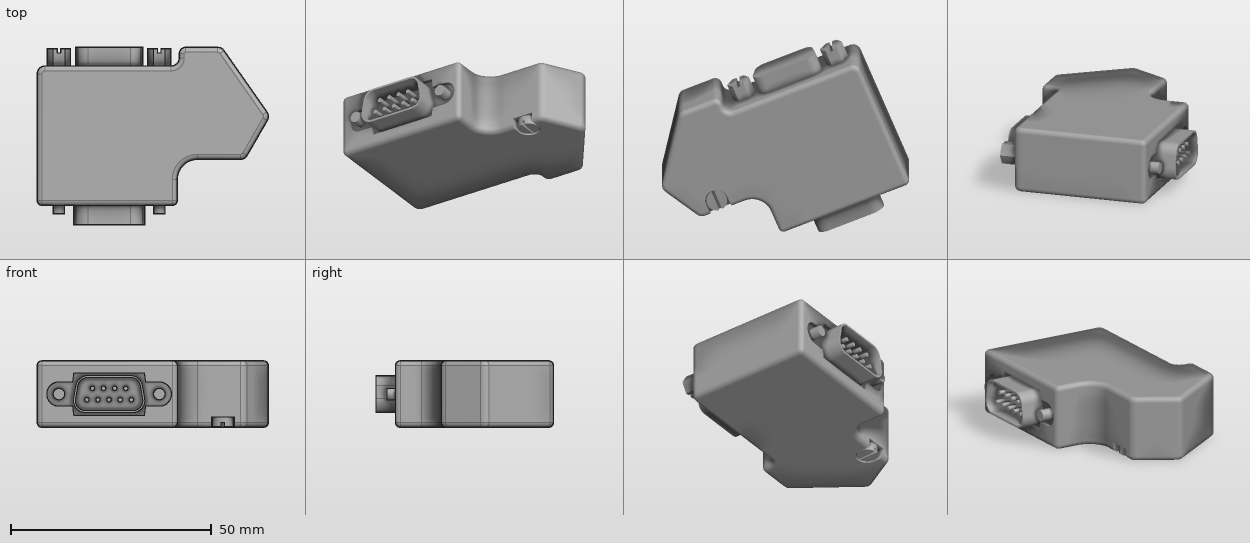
import cadquery as cq
import math

HOUSING_HEIGHT = 16.6
BLOCK_WIDTH = 34.95
BLOCK_DEPTH = 34.75
HEAD_BACK_Y = 39.4
HEAD_FRONT_Y = 11.45
HEAD_STEP_X = 35.4
HEAD_BACK_CORNER_X = 46.0
HEAD_FRONT_CORNER_X = 51.77
LONG_SLANT = math.radians(35)
SHORT_SLANT = math.radians(30)
EDGE_RADIUS = 1.25
CORNER_RADIUS = 2.0
STEP_CORNER_RADIUS = 1.6
STEP_INNER_RADIUS = 2.0
NECK_RADIUS = 5.0

CONNECTOR_X = 17.95
SCREW_SPACING = 25.0
SHELL_HEIGHT = 9.24
SHELL_MID_WIDTH = 17.3
SHELL_SLANT = math.radians(10)
SHELL_CORNER_RADIUS = 3.0
SHELL_WALL = 0.5
MALE_REACH = 4.85
PIN_REACH = 3.8
PIN_DIAMETER = 1.1
PIN_PITCH = 2.77
PIN_ROW_SPACING = 2.84
TOP_ROW_PINS = 4
BOTTOM_ROW_PINS = 5

RECESS_DEPTH = 1.1
SLOT_END_RADIUS = 3.03
WINDOW_HALF_HEIGHT = 5.29
WINDOW_END_HALF_WIDTH = 8.79
WINDOW_SLOT_HALF_WIDTH = 9.08

STUD_DIAMETER = 2.86
STUD_REACH = 2.1
HEX_FLATS = 5.04
HEX_END_Y = 39.03
DRIVER_SLOT_WIDTH = 0.8
DRIVER_SLOT_DEPTH = 1.07

CLAMP_X = 46.27
CLAMP_Y = 14.35
CLAMP_POCKET_WIDTH = 5.75
CLAMP_POCKET_DEPTH = 2.57
CLAMP_HEAD_DIAMETER = 5.2
CLAMP_HEAD_SETBACK = 0.2

SCREW_XS = [CONNECTOR_X - SCREW_SPACING / 2, CONNECTOR_X + SCREW_SPACING / 2]


def facing_front(y, x=CONNECTOR_X):
    """Sketch plane at depth y, local X along +X, local Y along +Z, extruding toward -Y."""
    return cq.Workplane("XZ", origin=(x, y, 0))


def box_between(x0, x1, y0, y1, z0, z1):
    return cq.Workplane("XY").box(x1 - x0, y1 - y0, z1 - z0, centered=False).translate((x0, y0, z0))


def housing():
    slant_sum = math.tan(LONG_SLANT) + math.tan(SHORT_SLANT)
    reach_at_front = HEAD_BACK_CORNER_X + (HEAD_BACK_Y - HEAD_FRONT_Y) * math.tan(LONG_SLANT)
    tip_rise = (reach_at_front - HEAD_FRONT_CORNER_X) / slant_sum
    tip_x = HEAD_FRONT_CORNER_X + tip_rise * math.tan(SHORT_SLANT)
    tip_y = HEAD_FRONT_Y + tip_rise

    corners = [
        ((0, 0), EDGE_RADIUS),
        ((BLOCK_WIDTH, 0), EDGE_RADIUS),
        ((BLOCK_WIDTH, HEAD_FRONT_Y), NECK_RADIUS),
        ((HEAD_FRONT_CORNER_X, HEAD_FRONT_Y), CORNER_RADIUS),
        ((tip_x, tip_y), CORNER_RADIUS),
        ((HEAD_BACK_CORNER_X, HEAD_BACK_Y), CORNER_RADIUS),
        ((HEAD_STEP_X, HEAD_BACK_Y), STEP_CORNER_RADIUS),
        ((HEAD_STEP_X, BLOCK_DEPTH), STEP_INNER_RADIUS),
        ((0, BLOCK_DEPTH), CORNER_RADIUS),
    ]
    body = (
        cq.Workplane("XY", origin=(0, 0, -HOUSING_HEIGHT / 2))
        .polyline([point for point, _ in corners])
        .close()
        .extrude(HOUSING_HEIGHT)
    )
    for point, radius in corners:
        body = body.edges(cq.NearestToPointSelector((*point, 0))).fillet(radius)
    return body.faces("|Z").edges().fillet(EDGE_RADIUS)


def d_prism(start_y, length, inset=0.0):
    """D-shaped bar from start_y toward -Y, drawn in from the male shell's outside by inset."""
    half_height = SHELL_HEIGHT / 2 - inset
    half_mid = SHELL_MID_WIDTH / 2 - inset / math.cos(SHELL_SLANT)
    flare = half_height * math.tan(SHELL_SLANT)
    return (
        facing_front(start_y)
        .polyline([
            (-half_mid - flare, -half_height),
            (half_mid + flare, -half_height),
            (half_mid - flare, half_height),
            (-half_mid + flare, half_height),
        ])
        .close()
        .extrude(length)
        .edges("|Y")
        .fillet(SHELL_CORNER_RADIUS - inset)
    )


def male_recess():
    slot_length = SCREW_SPACING + 2 * SLOT_END_RADIUS
    slot = facing_front(RECESS_DEPTH).slot2D(slot_length, 2 * SLOT_END_RADIUS).extrude(RECESS_DEPTH)
    window = (
        facing_front(RECESS_DEPTH)
        .polyline([
            (-WINDOW_END_HALF_WIDTH, WINDOW_HALF_HEIGHT),
            (WINDOW_END_HALF_WIDTH, WINDOW_HALF_HEIGHT),
            (WINDOW_SLOT_HALF_WIDTH, SLOT_END_RADIUS),
            (WINDOW_SLOT_HALF_WIDTH, -SLOT_END_RADIUS),
            (WINDOW_END_HALF_WIDTH, -WINDOW_HALF_HEIGHT),
            (-WINDOW_END_HALF_WIDTH, -WINDOW_HALF_HEIGHT),
            (-WINDOW_SLOT_HALF_WIDTH, -SLOT_END_RADIUS),
            (-WINDOW_SLOT_HALF_WIDTH, SLOT_END_RADIUS),
        ])
        .close()
        .extrude(RECESS_DEPTH)
    )
    return slot.union(window)


def male_shell():
    length = RECESS_DEPTH + MALE_REACH
    return d_prism(RECESS_DEPTH, length).cut(d_prism(RECESS_DEPTH, length, SHELL_WALL))


def pin_row(count, z):
    row_points = [((i - (count - 1) / 2) * PIN_PITCH, z) for i in range(count)]
    return (
        facing_front(RECESS_DEPTH)
        .pushPoints(row_points)
        .circle(PIN_DIAMETER / 2)
        .extrude(RECESS_DEPTH + PIN_REACH)
    )


def female_plug():
    return d_prism(HEAD_BACK_Y, HEAD_BACK_Y - BLOCK_DEPTH, SHELL_WALL)


def stud(x):
    return facing_front(RECESS_DEPTH, x).circle(STUD_DIAMETER / 2).extrude(RECESS_DEPTH + STUD_REACH)


def hex_screw(x):
    across_corners = HEX_FLATS / math.cos(math.radians(30))
    post = facing_front(HEX_END_Y, x).polygon(6, across_corners).extrude(HEX_END_Y - BLOCK_DEPTH)
    driver_slot = box_between(
        x - DRIVER_SLOT_WIDTH / 2, x + DRIVER_SLOT_WIDTH / 2,
        HEX_END_Y - DRIVER_SLOT_DEPTH, HEX_END_Y,
        -HEX_FLATS / 2, HEX_FLATS / 2,
    )
    return post.cut(driver_slot)


def clamp_pocket():
    """Round-ended pocket in the underside, open through the front of the head."""
    underside = cq.Workplane("XY", origin=(CLAMP_X, CLAMP_Y, -HOUSING_HEIGHT / 2))
    round_end = underside.circle(CLAMP_POCKET_WIDTH / 2).extrude(CLAMP_POCKET_DEPTH)
    mouth = box_between(
        CLAMP_X - CLAMP_POCKET_WIDTH / 2, CLAMP_X + CLAMP_POCKET_WIDTH / 2,
        HEAD_FRONT_Y, CLAMP_Y,
        -HOUSING_HEIGHT / 2, -HOUSING_HEIGHT / 2 + CLAMP_POCKET_DEPTH,
    )
    return round_end.union(mouth)


def clamp_screw():
    head_z = -HOUSING_HEIGHT / 2 + CLAMP_HEAD_SETBACK
    head_radius = CLAMP_HEAD_DIAMETER / 2
    head = (
        cq.Workplane("XY", origin=(CLAMP_X, CLAMP_Y, head_z))
        .circle(head_radius)
        .extrude(CLAMP_POCKET_DEPTH - CLAMP_HEAD_SETBACK)
    )
    driver_slot = box_between(
        CLAMP_X - DRIVER_SLOT_WIDTH / 2, CLAMP_X + DRIVER_SLOT_WIDTH / 2,
        CLAMP_Y - head_radius, CLAMP_Y + head_radius,
        head_z, head_z + DRIVER_SLOT_DEPTH,
    )
    return head.cut(driver_slot)


result = housing().cut(male_recess()).cut(clamp_pocket())
result = result.union(male_shell()).union(female_plug()).union(clamp_screw())
result = result.union(pin_row(TOP_ROW_PINS, PIN_ROW_SPACING / 2))
result = result.union(pin_row(BOTTOM_ROW_PINS, -PIN_ROW_SPACING / 2))
for screw_x in SCREW_XS:
    result = result.union(stud(screw_x)).union(hex_screw(screw_x))